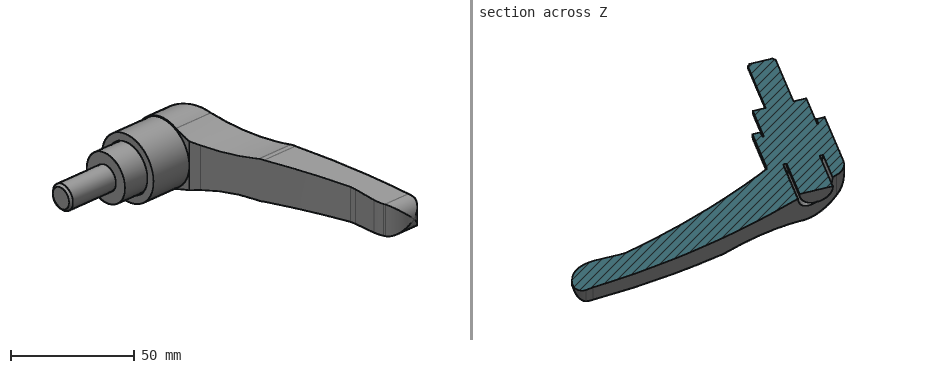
import cadquery as cq


hub_diameter = 31.0
hub_length = 19.7
collar_diameter = 23.0
collar_length = 12.0
collar_bore_diameter = 23.7
collar_gap_depth = 2.5
spindle_diameter = 12.0
spindle_length = 24.8
spindle_chamfer = 1.1
screw_head_diameter = 14.3
screw_head_top = 17.4
screw_bore_diameter = 16.8

boss_diameter = 32.0
boss_radius = boss_diameter / 2
total_length = 125.4
back_x = -hub_diameter / 2
tip_x = back_x + total_length
tip_radius = 7.4
tip_start_x = tip_x - tip_radius
arm_top = 41.0
arm_height_limit = 50.2

neck_start_x = 7.4
neck_start = (neck_start_x, (boss_radius**2 - neck_start_x**2) ** 0.5)
neck_middle = (32.0, 9.0)
neck_end = (42.9, 9.7)
crest_middle = (44.0, 9.8)
crest_end = (45.1, 9.7)

heel_start = (back_x, 5.5)
heel_middle = (-13.9, 9.7)
heel_end = (-10.3, 12.0)
back_middle = (45.1, 31.1)
back_end = (tip_start_x, 40.5)
tip_top = (105.6, arm_top)
tip_shoulder = (108.7, 39.9)
tip_front = (tip_x, 36.6)
tip_lower_middle = (108.0, 31.2)
tip_blend_end = (103.0, 27.6)
tip_blend_start = (102.0, 27.2)
tip_blend_middle = (99.6, 26.7)
tip_lower_end = (97.1, 26.5)
grip_flat_start = (86.0, 26.5)
grip_blend_middle = (84.7, 26.3)
grip_end = (83.4, 26.2)
grip_middle = (45.1, 13.7)
grip_start = (19.7, 2.3)
root = (hub_diameter / 2, 0)


def along_y(diameter, start_y, end_y):
    """Cylinder on the spindle axis between two Y levels."""
    direction = cq.Vector(0, end_y - start_y, 0)
    return cq.Workplane(
        cq.Solid.makeCylinder(diameter / 2, direction.Length, cq.Vector(0, start_y, 0), direction)
    )


def mirrored(point):
    return (point[0], -point[1])


def side_body():
    """Curved arm as seen from the side, wide enough to be trimmed by the plan."""
    return (
        cq.Workplane("XY")
        .moveTo(back_x, 0)
        .lineTo(*heel_start)
        .threePointArc(heel_middle, heel_end)
        .threePointArc(back_middle, back_end)
        .lineTo(*tip_top)
        .threePointArc(tip_shoulder, tip_front)
        .threePointArc(tip_lower_middle, tip_blend_end)
        .lineTo(*tip_blend_start)
        .threePointArc(tip_blend_middle, tip_lower_end)
        .lineTo(*grip_flat_start)
        .threePointArc(grip_blend_middle, grip_end)
        .threePointArc(grip_middle, grip_start)
        .lineTo(*root)
        .close()
        .extrude(boss_radius, both=True)
    )


def plan_body():
    """Round boss, waisted neck, tapered grip and round tip, extruded along Y."""
    tip_corner = (tip_start_x, tip_radius)
    return (
        cq.Workplane("XZ")
        .moveTo(*neck_start)
        .threePointArc(neck_middle, neck_end)
        .threePointArc(crest_middle, crest_end)
        .lineTo(*tip_corner)
        .threePointArc((tip_x, 0), mirrored(tip_corner))
        .lineTo(*mirrored(crest_end))
        .threePointArc(mirrored(crest_middle), mirrored(neck_end))
        .threePointArc(mirrored(neck_middle), mirrored(neck_start))
        .threePointArc((-boss_radius, 0), neck_start)
        .close()
        .extrude(-arm_height_limit)
    )


def screw_well():
    """Ring of free space around the screw head, with its floor on the hub."""
    return along_y(screw_bore_diameter, 0, arm_height_limit)


def hub():
    """Hub with a narrow ring-shaped gap around the collar."""
    gap = along_y(collar_bore_diameter, -hub_length, -hub_length + collar_gap_depth)
    return along_y(hub_diameter, 0, -hub_length).cut(gap)


def spindle():
    """Screw head, collar and chamfered pin on one axis."""
    collar_bottom = -hub_length - collar_length
    head = along_y(screw_head_diameter, 0, screw_head_top)
    collar = along_y(collar_diameter, -hub_length + collar_gap_depth, collar_bottom)
    pin = along_y(spindle_diameter, collar_bottom, collar_bottom - spindle_length)
    pin = pin.faces("<Y").chamfer(spindle_chamfer)
    return head.union(collar).union(pin)


arm = side_body().intersect(plan_body()).cut(screw_well())
result = arm.union(hub()).union(spindle())